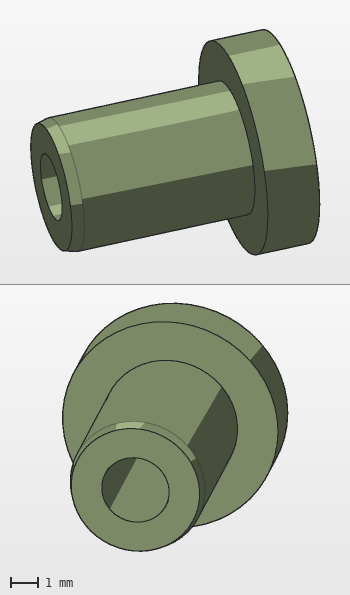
import cadquery as cq
import math

total_length = 9.0
head_diameter = 8.0
head_thickness = 2.0
shank_diameter = 5.0
bore_diameter = 2.5

taper_length = 0.44
taper_angle = 15.0

shank_length = total_length - head_thickness
shank_radius = shank_diameter / 2
head_radius = head_diameter / 2
bore_radius = bore_diameter / 2
tip_radius = shank_radius - taper_length * math.tan(math.radians(taper_angle))

half_section = [
    (bore_radius, 0),
    (tip_radius, 0),
    (shank_radius, taper_length),
    (shank_radius, shank_length),
    (head_radius, shank_length),
    (head_radius, total_length),
    (bore_radius, total_length),
]

result = (
    cq.Workplane("XY")
    .polyline(half_section)
    .close()
    .revolve(360, (0, 0, 0), (0, 1, 0))
)